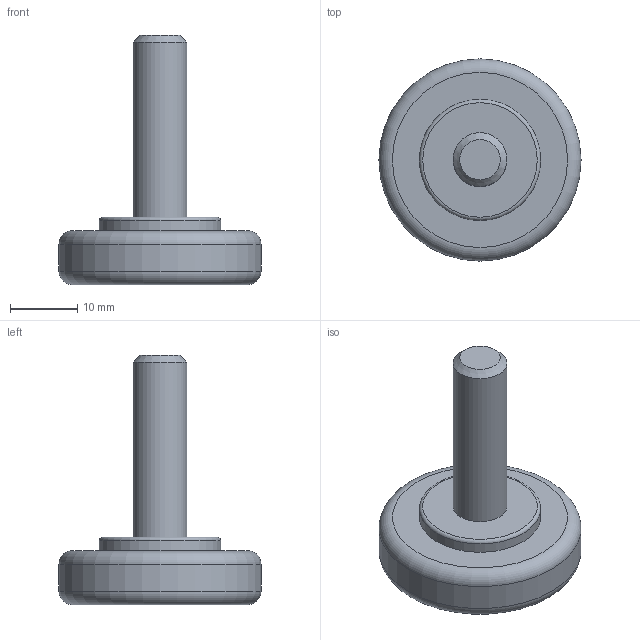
import cadquery as cq

overall_height = 37.0

foot_diameter = 30.0
foot_height = 8.0
foot_edge_radius = 2.0

collar_diameter = 18.0
collar_height = 2.0
collar_edge_radius = 0.5

stud_diameter = 8.0
stud_tip_chamfer = 1.0

collar_top = foot_height + collar_height
stud_length = overall_height - collar_top


def disc(diameter, height, base_level):
    """Cylinder on the Z axis, standing on the given level."""
    return cq.Workplane("XY").workplane(offset=base_level).circle(diameter / 2).extrude(height)


def make_foot():
    """Round foot with both rims rounded."""
    return disc(foot_diameter, foot_height, 0).edges("%CIRCLE").fillet(foot_edge_radius)


def make_collar():
    """Low collar on the foot with a rounded upper rim."""
    collar = disc(collar_diameter, collar_height, foot_height)
    return collar.faces(">Z").edges().fillet(collar_edge_radius)


def make_stud():
    """Plain stud rising from the collar, with a chamfered tip."""
    stud = disc(stud_diameter, stud_length, collar_top)
    return stud.faces(">Z").edges().chamfer(stud_tip_chamfer)


result = make_foot().union(make_collar()).union(make_stud())